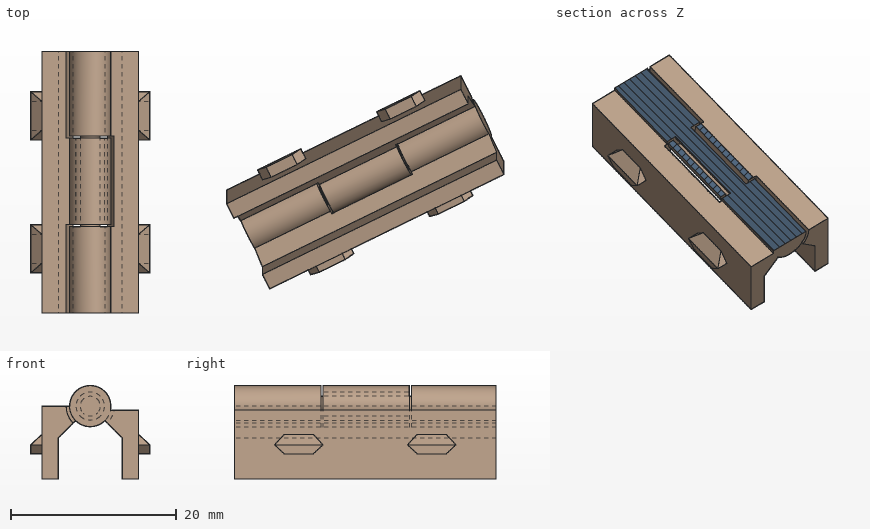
import cadquery as cq
import math

length = 31.6
half_width = 5.85
leg_thickness = 2.0
knuckle_radius = 2.5
foot_z = -8.82
knuckle_length = 10.45
fixed_leaf_top = 0.0
pin_leaf_top = -0.47

relief_radius = 2.9
knuckle_gap = 0.22
pin_diameter = 2.4
bore_diameter = 3.4

tab_reach = 1.35
tab_length = 5.85
tab_top_rise = 1.25
tab_drop = 1.07
tab_end_taper = 1.17
tab_ridge_z = -4.68
tab_spacing = 16.05

front_y = -length / 2
back_y = length / 2
front_knuckle_end = front_y + knuckle_length
middle_knuckle_start = front_knuckle_end + knuckle_gap
middle_knuckle_end = middle_knuckle_start + knuckle_length
back_knuckle_start = middle_knuckle_end + knuckle_gap


def rod(radius, start, end):
    """Cylinder on the hinge axis between two Y positions."""
    return cq.Workplane("XZ", origin=(0, start, 0)).circle(radius).extrude(start - end)


def prism(points, start, end):
    """XZ outline extruded between two Y positions."""
    return cq.Workplane("XZ", origin=(0, start, 0)).polyline(points).close().extrude(start - end)


def snap_tab(side, center_y):
    """Six-sided tab with a sloping upper face; side is -1 or +1 along X."""
    ridge_half = tab_length / 2
    edge_half = ridge_half - tab_end_taper
    top_z = tab_ridge_z + tab_top_rise
    bottom_z = tab_ridge_z - tab_drop
    wall_x = side * half_width
    tip_x = side * (half_width + tab_reach)
    hexagon = (
        cq.Workplane("YZ", origin=(wall_x, center_y, 0))
        .polyline([
            (-edge_half, bottom_z),
            (edge_half, bottom_z),
            (ridge_half, tab_ridge_z),
            (edge_half, top_z),
            (-edge_half, top_z),
            (-ridge_half, tab_ridge_z),
        ])
        .close()
        .extrude(side * tab_reach)
    )
    sloped = prism(
        [(wall_x, bottom_z), (tip_x, bottom_z), (tip_x, tab_ridge_z), (wall_x, top_z)],
        center_y - ridge_half,
        center_y + ridge_half,
    )
    return hexagon.intersect(sloped)


def leaf_plate(side, top_z):
    """Leg with a 45-degree arm whose underside points at the hinge axis."""
    outer_x = half_width
    inner_x = half_width - leg_thickness
    arm_tip = knuckle_radius / 2 * math.sqrt(2)
    outline = [
        (outer_x, foot_z),
        (outer_x, top_z),
        (arm_tip, top_z),
        (arm_tip, -arm_tip),
        (inner_x, -inner_x),
        (inner_x, foot_z),
    ]
    plate = prism([(side * x, z) for x, z in outline], front_y, back_y)
    for center_y in (-tab_spacing / 2, tab_spacing / 2):
        plate = plate.union(snap_tab(side, center_y))
    return plate


def make_fixed_leaf():
    """-X leaf with the bored middle knuckle."""
    leaf = leaf_plate(-1, fixed_leaf_top)
    leaf = leaf.cut(rod(relief_radius, front_y, middle_knuckle_start))
    leaf = leaf.cut(rod(relief_radius, middle_knuckle_end, back_y))
    leaf = leaf.union(rod(knuckle_radius, middle_knuckle_start, middle_knuckle_end))
    return leaf.cut(rod(bore_diameter / 2, middle_knuckle_start, middle_knuckle_end))


def make_pin_leaf():
    """+X leaf with both outer knuckles and the pin joining them."""
    leaf = leaf_plate(1, pin_leaf_top)
    leaf = leaf.cut(rod(relief_radius, front_knuckle_end, back_knuckle_start))
    leaf = leaf.union(rod(knuckle_radius, front_y, front_knuckle_end))
    leaf = leaf.union(rod(knuckle_radius, back_knuckle_start, back_y))
    return leaf.union(rod(pin_diameter / 2, front_knuckle_end, back_knuckle_start))


fixed_leaf = make_fixed_leaf()
pin_leaf = make_pin_leaf()

result = cq.Compound.makeCompound([fixed_leaf.val(), pin_leaf.val()])